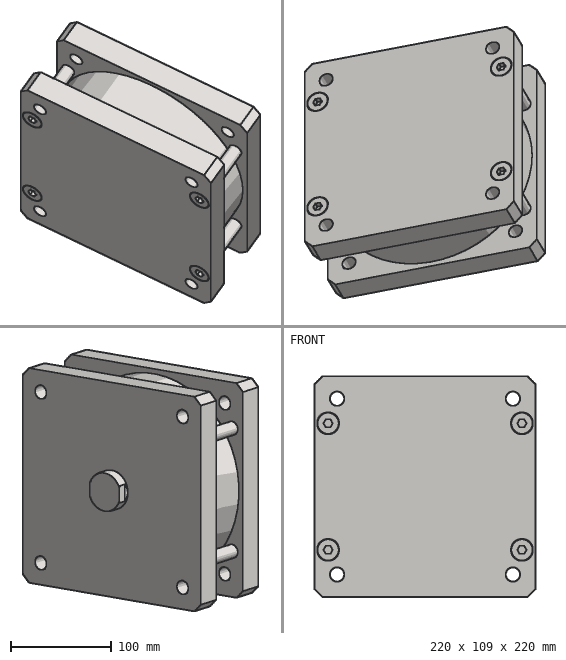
import cadquery as cq
import math

PLATE_SIDE = 220.0
PLATE_THICKNESS = 26.0
PLATE_CORNER_CHAMFER = 8.0
DRUM_DIAMETER = 210.0
DRUM_LENGTH = 45.0

MOUNT_HOLE_DIAMETER = 14.0
MOUNT_HOLE_SPACING = 175.0

SCREW_SPACING_X = 193.0
SCREW_SPACING_Z = 126.0
SCREW_DIAMETER = 14.0
HEAD_DIAMETER = 21.0
HEAD_BORE_DIAMETER = 22.0
HEAD_HEIGHT = 14.0
SOCKET_ACROSS_FLATS = 8.0
SOCKET_CORNER_DIAMETER = SOCKET_ACROSS_FLATS / math.cos(math.pi / 6)
SOCKET_DEPTH = 6.0

BOSS_DIAMETER = 40.0
BOSS_LENGTH = 12.0
BOSS_TAPER_LENGTH = 2.0
BOSS_TAPER_ANGLE = 15.0
BOSS_FLAT_WIDTH = 36.0
BOSS_FLAT_LENGTH = 9.5

DRUM_REAR = DRUM_LENGTH / 2
DRUM_FRONT = -DRUM_REAR
REAR_FACE = DRUM_REAR + PLATE_THICKNESS
FRONT_FACE = -REAR_FACE

SCREW_POINTS = [
    (side_x * SCREW_SPACING_X / 2, side_z * SCREW_SPACING_Z / 2)
    for side_x in (-1, 1)
    for side_z in (-1, 1)
]


def section_at(y):
    """Sketch plane at station y: local x is X, local y is Z, extrusion runs to -Y."""
    return cq.Workplane("XZ", origin=(0, y, 0))


def plate(rear_y):
    """Square plate with cut corners, reaching forward from rear_y."""
    return (
        section_at(rear_y)
        .rect(PLATE_SIDE, PLATE_SIDE)
        .extrude(PLATE_THICKNESS)
        .edges("|Y")
        .chamfer(PLATE_CORNER_CHAMFER)
    )


def mount_holes():
    """Cutters for the corner holes through both plates."""
    return (
        section_at(REAR_FACE)
        .rect(MOUNT_HOLE_SPACING, MOUNT_HOLE_SPACING, forConstruction=True)
        .vertices()
        .circle(MOUNT_HOLE_DIAMETER / 2)
        .extrude(REAR_FACE - FRONT_FACE)
    )


def screw_shanks():
    """Shanks bridging the open space between the plates."""
    return (
        section_at(DRUM_REAR)
        .pushPoints(SCREW_POINTS)
        .circle(SCREW_DIAMETER / 2)
        .extrude(DRUM_LENGTH)
    )


def head_clearances():
    """Cutters for the ring-shaped gaps around the sunk heads."""
    return (
        section_at(FRONT_FACE + HEAD_HEIGHT)
        .pushPoints(SCREW_POINTS)
        .circle(HEAD_BORE_DIAMETER / 2)
        .circle(HEAD_DIAMETER / 2)
        .extrude(HEAD_HEIGHT)
    )


def head_sockets():
    """Cutters for the hexagon sockets in the heads."""
    return (
        section_at(FRONT_FACE + SOCKET_DEPTH)
        .pushPoints(SCREW_POINTS)
        .polygon(6, SOCKET_CORNER_DIAMETER)
        .extrude(SOCKET_DEPTH)
    )


def boss():
    """Round boss with a tapered end and two flats that slope out to the full diameter near the plate."""
    radius = BOSS_DIAMETER / 2
    end = REAR_FACE + BOSS_LENGTH
    end_radius = radius - BOSS_TAPER_LENGTH * math.tan(math.radians(BOSS_TAPER_ANGLE))
    round_body = (
        cq.Workplane("XY")
        .moveTo(0, REAR_FACE)
        .lineTo(radius, REAR_FACE)
        .lineTo(radius, end - BOSS_TAPER_LENGTH)
        .lineTo(end_radius, end)
        .lineTo(0, end)
        .close()
        .revolve(360, (0, 0, 0), (0, 1, 0))
    )
    flat = BOSS_FLAT_WIDTH / 2
    flat_root = end - BOSS_FLAT_LENGTH
    slope_root = flat_root - (radius - flat)
    flats = (
        cq.Workplane("XY")
        .polyline([
            (-radius, REAR_FACE),
            (radius, REAR_FACE),
            (radius, slope_root),
            (flat, flat_root),
            (flat, end),
            (-flat, end),
            (-flat, flat_root),
            (-radius, slope_root),
        ])
        .close()
        .extrude(radius, both=True)
    )
    return round_body.intersect(flats)


drum = section_at(DRUM_REAR).circle(DRUM_DIAMETER / 2).extrude(DRUM_LENGTH)

result = (
    plate(REAR_FACE)
    .union(drum)
    .union(plate(DRUM_FRONT))
    .union(screw_shanks())
    .union(boss())
    .cut(mount_holes())
    .cut(head_clearances())
    .cut(head_sockets())
)